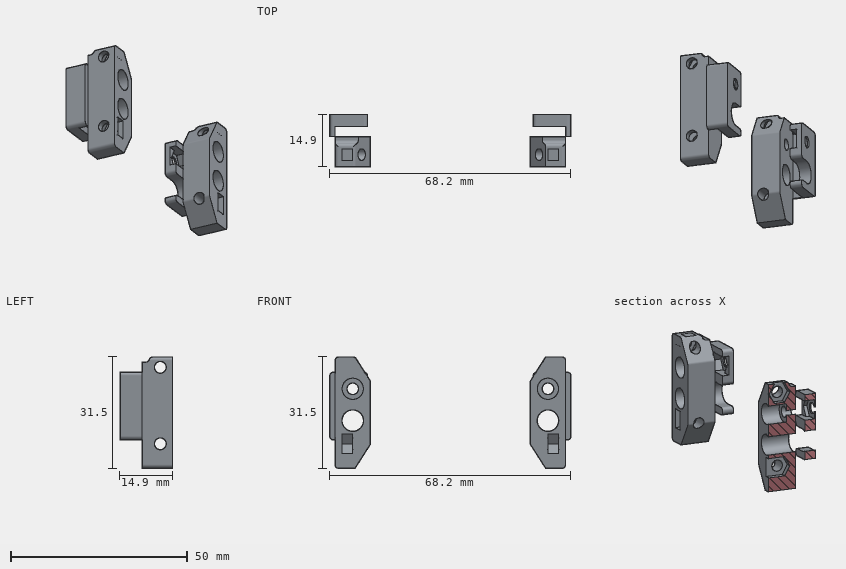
import cadquery as cq
import math

TOTAL_WIDTH = 68.2
TOTAL_DEPTH = 14.9
EDGE_RADIUS = 1.0

BLOCK_HEIGHT = 31.5
BLOCK_WIDTH = 10.0
BLOCK_DEPTH = 8.6
BEVEL_WIDTH = 4.35
BEVEL_HEIGHT = 6.8

STEP_DROP = 1.4
STEP_LEDGE = 1.0

SCREW_HOLE_DIAMETER = 3.2
GUIDE_HOLE_DIAMETER = 6.0
HEAD_BORE_DEPTH = 5.6
HOLE_PITCH = 9.0
SCREW_Z = BLOCK_HEIGHT - HOLE_PITCH
GUIDE_Z = SCREW_Z - HOLE_PITCH

CROSS_HOLE_DIAMETER = 3.3
CROSS_HOLE_Y = 3.5
UPPER_CROSS_DROP = 2.9
LOWER_CROSS_DROP = 24.55
UPPER_CROSS_Z = BLOCK_HEIGHT - UPPER_CROSS_DROP
LOWER_CROSS_Z = BLOCK_HEIGHT - LOWER_CROSS_DROP
NUT_SIDES = 6
NUT_FLATS = 5.5
NUT_CORNERS = NUT_FLATS / math.cos(math.pi / NUT_SIDES)
NUT_POCKET_WIDTH = 3.0

WALL = 1.5
BRACKET_WIDTH = 10.7
BRACKET_HEIGHT = 19.15
BRACKET_BOTTOM = 8.05
PLATE_THICKNESS = 3.5
SLOT_HEIGHT = 6.55
NUT_SLOT_DEPTH = 1.9
NUT_SEAT_DEPTH = 1.1

BRACKET_LEFT = -TOTAL_WIDTH / 2
BRACKET_RIGHT = BRACKET_LEFT + BRACKET_WIDTH
BLOCK_LEFT = BRACKET_LEFT + WALL
BLOCK_RIGHT = BLOCK_LEFT + BLOCK_WIDTH
HOLE_X = BLOCK_LEFT + BLOCK_WIDTH / 2
PLATE_FRONT = TOTAL_DEPTH - PLATE_THICKNESS


def box(x_range, y_range, z_range):
    """Box between the given (low, high) limits."""
    size = [high - low for low, high in (x_range, y_range, z_range)]
    start = (x_range[0], y_range[0], z_range[0])
    return cq.Workplane("XY").box(*size, centered=False).translate(start)


def y_cylinder(diameter, z, y_start, y_end):
    """Cylinder along Y on the line of the screw and guide holes."""
    plane = cq.Workplane("XZ", origin=(HOLE_X, y_start, z))
    return plane.circle(diameter / 2).extrude(y_start - y_end)


def block_blank():
    """Upright prism with both inner corners beveled."""
    outline = [
        (BLOCK_LEFT, 0),
        (BLOCK_RIGHT - BEVEL_WIDTH, 0),
        (BLOCK_RIGHT, BEVEL_HEIGHT),
        (BLOCK_RIGHT, BLOCK_HEIGHT - BEVEL_HEIGHT),
        (BLOCK_RIGHT - BEVEL_WIDTH, BLOCK_HEIGHT),
        (BLOCK_LEFT, BLOCK_HEIGHT),
    ]
    return cq.Workplane("XZ").polyline(outline).close().extrude(-BLOCK_DEPTH)


def top_step():
    """Cutter for the step along the top rear edge: a concave arc that runs into a convex arc."""
    ledge_z = BLOCK_HEIGHT - STEP_DROP
    arc_angle = math.acos(1 - STEP_DROP / (2 * EDGE_RADIUS))
    arc_run = EDGE_RADIUS * math.sin(arc_angle)
    half_run = EDGE_RADIUS * math.sin(arc_angle / 2)
    half_rise = EDGE_RADIUS * (1 - math.cos(arc_angle / 2))
    foot_y = BLOCK_DEPTH - STEP_LEDGE
    head_y = foot_y - 2 * arc_run
    plane = cq.Workplane("YZ", origin=(BLOCK_LEFT, 0, 0))
    profile = (
        plane.moveTo(BLOCK_DEPTH, ledge_z)
        .lineTo(foot_y, ledge_z)
        .threePointArc((foot_y - half_run, ledge_z + half_rise), (foot_y - arc_run, ledge_z + STEP_DROP / 2))
        .threePointArc((head_y + half_run, BLOCK_HEIGHT - half_rise), (head_y, BLOCK_HEIGHT))
        .lineTo(BLOCK_DEPTH, BLOCK_HEIGHT)
        .close()
    )
    return profile.extrude(BLOCK_WIDTH)


def cross_hole(z):
    """Hole along X right through the block."""
    plane = cq.Workplane("YZ", origin=(BLOCK_LEFT, CROSS_HOLE_Y, z))
    return plane.circle(CROSS_HOLE_DIAMETER / 2).extrude(BLOCK_WIDTH)


def nut_pocket(z):
    """Hexagonal pocket around a cross hole, with flats above and below and corners front and rear."""
    plane = cq.Workplane("YZ", origin=(HOLE_X - NUT_POCKET_WIDTH, CROSS_HOLE_Y, z))
    return plane.polygon(NUT_SIDES, NUT_CORNERS).extrude(NUT_POCKET_WIDTH)


def nut_entry():
    """Straight passage from the front face into the lower nut pocket."""
    low = LOWER_CROSS_Z - NUT_FLATS / 2
    return box((HOLE_X - NUT_POCKET_WIDTH, HOLE_X), (0, CROSS_HOLE_Y), (low, low + NUT_FLATS))


def round_long_edges(blank, round_top_bevel):
    """Round the outer corners, the side ends of both bevels and, if asked, the top end of the upper bevel."""
    places = [
        (BLOCK_LEFT, 0),
        (BLOCK_LEFT, BLOCK_HEIGHT),
        (BLOCK_RIGHT, BEVEL_HEIGHT),
        (BLOCK_RIGHT, BLOCK_HEIGHT - BEVEL_HEIGHT),
    ]
    if round_top_bevel:
        places.append((BLOCK_RIGHT - BEVEL_WIDTH, BLOCK_HEIGHT))
    for x, z in places:
        edge = cq.selectors.NearestToPointSelector((x, BLOCK_DEPTH / 2, z))
        blank = blank.edges(edge).fillet(EDGE_RADIUS)
    return blank


def make_block(round_top_bevel):
    """Left-hand block with its step, holes and nut pockets."""
    block = round_long_edges(block_blank(), round_top_bevel)
    block = block.cut(top_step())
    block = block.cut(y_cylinder(GUIDE_HOLE_DIAMETER, GUIDE_Z, 0, BLOCK_DEPTH))
    block = block.cut(y_cylinder(SCREW_HOLE_DIAMETER, SCREW_Z, 0, BLOCK_DEPTH))
    block = block.cut(y_cylinder(GUIDE_HOLE_DIAMETER, SCREW_Z, 0, HEAD_BORE_DEPTH))
    for z in (LOWER_CROSS_Z, UPPER_CROSS_Z):
        block = block.cut(cross_hole(z)).cut(nut_pocket(z))
    return block.cut(nut_entry())


def guide_slot():
    """Slot with a round end at the guide hole, open to the inner side."""
    low = GUIDE_Z - SLOT_HEIGHT / 2
    opening = box((HOLE_X, BRACKET_RIGHT), (PLATE_FRONT, TOTAL_DEPTH), (low, low + SLOT_HEIGHT))
    return opening.union(y_cylinder(SLOT_HEIGHT, GUIDE_Z, PLATE_FRONT, TOTAL_DEPTH))


def nut_trap():
    """Slot for a nut, open to the front and inner side, that ends in a deeper hexagonal seat."""
    low = SCREW_Z - NUT_FLATS / 2
    slot_back = PLATE_FRONT + NUT_SLOT_DEPTH
    slot = box((HOLE_X, BRACKET_RIGHT), (PLATE_FRONT, slot_back), (low, low + NUT_FLATS))
    seat_plane = cq.Workplane("XZ", origin=(HOLE_X, PLATE_FRONT, SCREW_Z))
    seat = seat_plane.polygon(NUT_SIDES, NUT_CORNERS).extrude(-NUT_SLOT_DEPTH - NUT_SEAT_DEPTH)
    return slot.union(seat)


def make_bracket():
    """Left-hand bracket: a rear plate and an outer wall that reaches the rear face of the block."""
    heights = (BRACKET_BOTTOM, BRACKET_BOTTOM + BRACKET_HEIGHT)
    plate = box((BRACKET_LEFT, BRACKET_RIGHT), (PLATE_FRONT, TOTAL_DEPTH), heights)
    wall = box((BRACKET_LEFT, BLOCK_LEFT), (BLOCK_DEPTH, TOTAL_DEPTH), heights)
    bracket = plate.union(wall).cut(guide_slot())
    bracket = bracket.edges("|Y and (<X or >X)").fillet(EDGE_RADIUS)
    bracket = bracket.cut(y_cylinder(SCREW_HOLE_DIAMETER, SCREW_Z, PLATE_FRONT, TOTAL_DEPTH))
    return bracket.cut(nut_trap())


left_block = make_block(round_top_bevel=True)
right_block = make_block(round_top_bevel=False).mirror("YZ")
left_bracket = make_bracket()
right_bracket = make_bracket().mirror("YZ")

result = cq.Compound.makeCompound(
    [left_block.val(), right_block.val(), left_bracket.val(), right_bracket.val()]
)